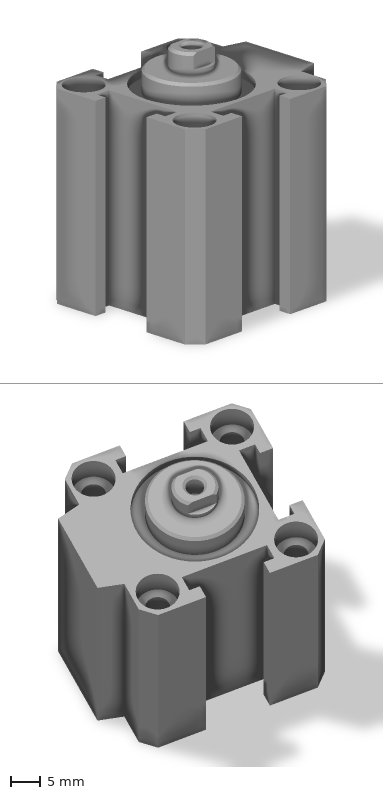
import cadquery as cq

width = 35.0
depth_with_ridge = 39.5
housing_height = 39.0
corner_chamfer = 2.5
half_width = width / 2
ridge_y = depth_with_ridge - half_width
ridge_top_half = 8.0
ridge_base_half = 9.15

slot_mouth = 12.0
slot_inner = 16.0
slot_lip = 2.5
slot_floor = 12.0

mount_offset = 13.0
mount_diameter = 4.3
counterbore_diameter = 7.5
counterbore_depth = 4.6

recess_diameter = 22.0
recess_depth = 1.5
collar_diameter = 17.0
collar_height = 3.05
collar_chamfer = 0.5

total_height = 46.0
rod_diameter = 8.0
rod_chamfer = 0.5
flat_width = 6.0
flat_height = 3.0
bore_diameter = 3.2
bore_depth = 4.6
bore_chamfer = 0.5
countersink_angle = 90

collar_top = housing_height + collar_height
recess_floor = housing_height - recess_depth


def make_t_slot(angle):
    """T-slot along Z, opening toward -Y before it is turned about Z by angle."""
    lip_y = half_width - slot_lip
    slot = (
        cq.Workplane("XY")
        .moveTo(-slot_mouth / 2, -half_width)
        .lineTo(-slot_mouth / 2, -lip_y)
        .lineTo(-slot_inner / 2, -lip_y)
        .lineTo(-slot_inner / 2, -slot_floor)
        .lineTo(slot_inner / 2, -slot_floor)
        .lineTo(slot_inner / 2, -lip_y)
        .lineTo(slot_mouth / 2, -lip_y)
        .lineTo(slot_mouth / 2, -half_width)
        .close()
        .extrude(housing_height)
    )
    return slot.rotate((0, 0, 0), (0, 0, 1), angle)


def make_ridge():
    """Tapered ridge along the +Y face."""
    return (
        cq.Workplane("XY")
        .moveTo(-ridge_base_half, 0)
        .lineTo(-ridge_base_half, half_width)
        .lineTo(-ridge_top_half, ridge_y)
        .lineTo(ridge_top_half, ridge_y)
        .lineTo(ridge_base_half, half_width)
        .lineTo(ridge_base_half, 0)
        .close()
        .extrude(housing_height)
    )


def make_housing():
    housing = (
        cq.Workplane("XY")
        .rect(width, width)
        .extrude(housing_height)
        .edges("|Z")
        .chamfer(corner_chamfer)
        .union(make_ridge())
    )
    for angle in (-90, 0, 90):
        housing = housing.cut(make_t_slot(angle))

    housing = (
        housing.faces(">Z")
        .workplane(origin=(0, 0, housing_height))
        .rect(2 * mount_offset, 2 * mount_offset, forConstruction=True)
        .vertices()
        .cboreHole(mount_diameter, counterbore_diameter, counterbore_depth)
    )

    recess = (
        cq.Workplane("XY", origin=(0, 0, recess_floor))
        .circle(recess_diameter / 2)
        .extrude(recess_depth)
    )
    collar = (
        cq.Workplane("XY", origin=(0, 0, recess_floor))
        .circle(collar_diameter / 2)
        .extrude(collar_top - recess_floor)
        .faces(">Z")
        .chamfer(collar_chamfer)
    )
    rod_socket = (
        cq.Workplane("XY", origin=(0, 0, recess_floor))
        .circle(rod_diameter / 2)
        .extrude(collar_top - recess_floor)
    )
    return housing.cut(recess).union(collar).cut(rod_socket)


def make_rod():
    """Rod seated in the collar, with two wrench flats and a bore in its end."""
    rod = (
        cq.Workplane("XY", origin=(0, 0, recess_floor))
        .circle(rod_diameter / 2)
        .extrude(total_height - recess_floor)
        .faces(">Z")
        .chamfer(rod_chamfer)
    )
    flat_cut = (
        cq.Workplane("XY", origin=(0, 0, total_height - flat_height))
        .rect(2 * rod_diameter, 2 * rod_diameter)
        .rect(flat_width, 2 * rod_diameter)
        .extrude(flat_height)
    )
    countersink_diameter = bore_diameter + 2 * bore_chamfer
    return (
        rod.cut(flat_cut)
        .faces(">Z")
        .workplane(origin=(0, 0, total_height))
        .cskHole(bore_diameter, countersink_diameter, countersink_angle, depth=bore_depth)
    )


housing = make_housing()
rod = make_rod()
result = cq.Compound.makeCompound([housing.val(), rod.val()])